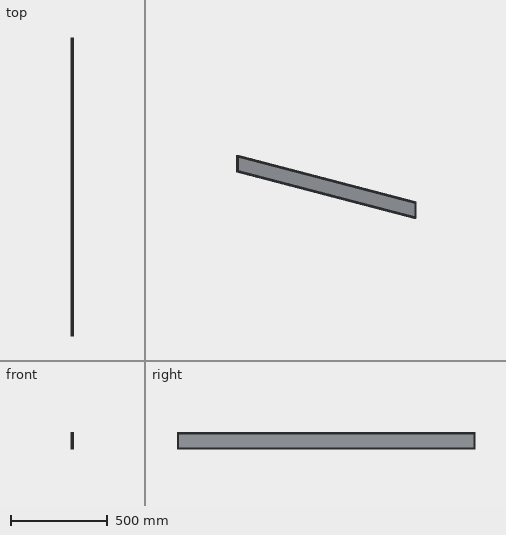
import cadquery as cq

thickness = 6.0
length = 1532.0
height = 80.0

result = cq.Workplane("XY").box(thickness, length, height)